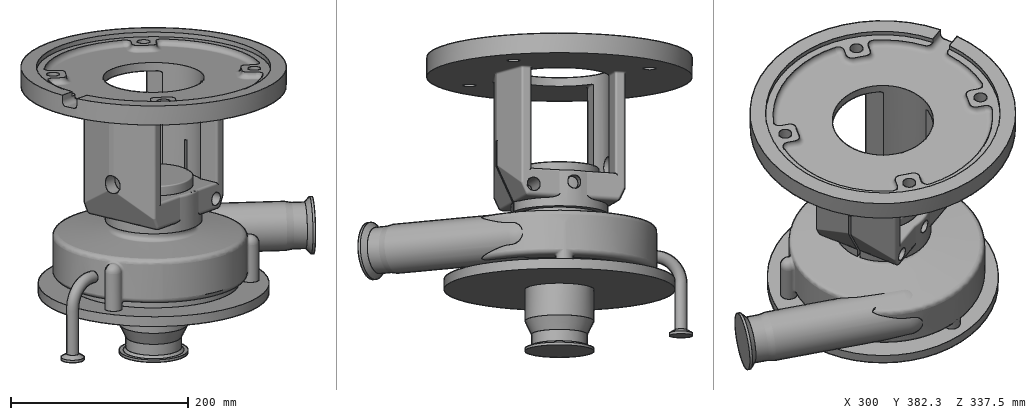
import cadquery as cq
import math


hair = 0.5
margin = 4.0

flange_radius = 150.0
flange_top = 337.5
flange_bottom = 315.0
rim_recess_radius = 132.5
rim_recess_depth = 5.5
pocket_radius = 124.0
pocket_depth = 12.5
pocket_floor_fillet = 6.0
pocket_corner_fillet = 7.0
bolt_offset = 80.7
bolt_hole_radius = 7.3
bolt_pad_half_width = 14.0
bolt_pad_inset = 14.5
channel_half_width = 10.7

yoke_half_width = 104.5 / 2
yoke_corner_y = 122.0 / 2
yoke_ridge_y = 149.5 / 2
yoke_ridge_half_width = 3.25
yoke_bottom = 166.8
yoke_bevel_start_y = 109.0 / 2
yoke_bevel_top = 208.5
yoke_fillet = 2.5
yoke_bottom_fillet = 4.5
yoke_foot_fillet = 2.3
window_half_width = 49.7
yoke_bore_radius = 57.0
collar_radius = 54.7
collar_bottom = 157.0
collar_top = 198.5
screw_hole_radius = 7.5
set_screw_z = 185.0
clamp_screw_y = 47.5
clamp_screw_z = 180.0
slit_width = 3.5
slit_top = 237.0
leg_hole_radius = 10.7
leg_hole_z = 215.7

shaft_radius = 89.0 / 2
shaft_top = 209.5
shaft_edge_fillet = 1.5
neck_radius = 46.0
neck_fillet = 5.7

casing_bottom = 90.0
casing_rim_z = 141.0
casing_hub_z = 145.5
casing_fillet = 5.7
casing_radius = 106.0
volute_radius = 113.2
volute_offset = volute_radius - casing_radius
volute_start_angle = -45
volute_end_angle = 112
base_ring_radius = 96.5

plate_radius = 130.5
plate_bottom = 70.8
plate_top = 82.2
post_radius = 19.5 / 2
post_circle_radius = 109.8
post_top = 135.8
post_fillet = 2.5
post_angles = (-75, 45, 165)

inlet_radius = 39.0
inlet_neck_radius = 63.0 / 2
inlet_cone_top = 34.5
inlet_cone_bottom = 19.0
inlet_ferrule_top = 6.0
inlet_ferrule_edge = 3.0
inlet_ferrule_root_radius = 34.5

outlet_angle = 45
outlet_axis_offset = 95.5
outlet_z = 115.0
outlet_radius = 28.0
outlet_neck_radius = 26.5
outlet_cone_start = 158.5
outlet_cone_end = 166.5
outlet_ferrule_start = 181.5
outlet_ferrule_edge = 187.0
outlet_ferrule_radius = 32.5
outlet_end = 190.0

drain_radius = 7.0
drain_y = -144.2
drain_bend_radius = 29.5
drain_inlet_y = -99.5
drain_ferrule_radius = 26.5 / 2
drain_ferrule_bottom = 26.0
drain_ferrule_edge = 29.0
drain_ferrule_top = 33.0


def cylinder(radius, bottom, top):
    return cq.Workplane("XY").workplane(offset=bottom).circle(radius).extrude(top - bottom)


def turned(points):
    """Solid of revolution about Z from (radius, z) points, closed along the axis."""
    outline = [(0, points[0][1])] + points + [(0, points[-1][1])]
    return cq.Workplane("XZ").polyline(outline).close().revolve(360, (0, 0), (0, 1))


def polar(radius, angle, center=(0, 0)):
    a = math.radians(angle)
    return center[0] + radius * math.cos(a), center[1] + radius * math.sin(a)


def flange_pocket():
    """Stepped pocket: a shallow rim recess, then a deeper one around the bolt pads."""
    floor = flange_top - pocket_depth
    pocket = cylinder(pocket_radius, floor, flange_top)
    pad_inner = math.hypot(bolt_offset, bolt_offset) - bolt_pad_inset
    pad_length = flange_radius - pad_inner
    for angle in (45, 135, 225, 315):
        pad = (
            cq.Workplane("XY").workplane(offset=floor)
            .center(pad_inner + pad_length / 2, 0)
            .rect(pad_length, 2 * bolt_pad_half_width)
            .extrude(pocket_depth)
            .rotate((0, 0, 0), (0, 0, 1), angle)
        )
        pocket = pocket.cut(pad)
    channel_start = pocket_radius - channel_half_width
    channel_end = flange_radius + margin
    channel = (
        cq.Workplane("XY").workplane(offset=floor)
        .center(0, -(channel_start + channel_end) / 2)
        .rect(2 * channel_half_width, channel_end - channel_start)
        .extrude(pocket_depth)
    )
    pocket = pocket.union(channel)
    inside = cq.selectors.BoxSelector(
        (-pocket_radius, -pocket_radius, floor), (pocket_radius, pocket_radius, flange_top)
    )
    pocket = pocket.edges("|Z").edges(inside).fillet(pocket_corner_fillet)
    pocket = pocket.faces("<Z").edges().fillet(pocket_floor_fillet)
    return pocket.union(cylinder(rim_recess_radius, flange_top - rim_recess_depth, flange_top))


def yoke_legs():
    """Two V-nosed legs joined at the bottom by the clamp block and its round collar."""
    outline = [
        (yoke_half_width, -yoke_corner_y),
        (yoke_half_width, yoke_corner_y),
        (yoke_ridge_half_width, yoke_ridge_y),
        (-yoke_ridge_half_width, yoke_ridge_y),
        (-yoke_half_width, yoke_corner_y),
        (-yoke_half_width, -yoke_corner_y),
        (-yoke_ridge_half_width, -yoke_ridge_y),
        (yoke_ridge_half_width, -yoke_ridge_y),
    ]
    legs = (
        cq.Workplane("XY").workplane(offset=yoke_bottom)
        .polyline(outline).close().extrude(flange_bottom - yoke_bottom)
    )
    side_profile = [
        (-yoke_bevel_start_y, yoke_bottom),
        (yoke_bevel_start_y, yoke_bottom),
        (yoke_ridge_y, yoke_bevel_top),
        (yoke_ridge_y, flange_bottom),
        (-yoke_ridge_y, flange_bottom),
        (-yoke_ridge_y, yoke_bevel_top),
    ]
    side = cq.Workplane("YZ").polyline(side_profile).close().extrude(yoke_half_width, both=True)
    legs = legs.intersect(side)
    legs = legs.faces("<Z").edges().fillet(yoke_bottom_fillet)
    bevel_edges = cq.selectors.BoxSelector(
        (-yoke_half_width, -yoke_ridge_y - margin, yoke_bottom + 2 * yoke_bottom_fillet),
        (yoke_half_width, yoke_ridge_y + margin, yoke_bevel_top + hair),
    )
    sides = legs.faces("<X or >X").edges("not (|Y)")
    legs = sides.add(legs.edges(bevel_edges)).fillet(yoke_fillet)
    legs = legs.union(cylinder(collar_radius, collar_bottom, collar_top))
    window_height = flange_bottom - collar_top
    window = (
        cq.Workplane("XY").workplane(offset=collar_top)
        .rect(4 * yoke_half_width, 2 * window_half_width).extrude(window_height)
    )
    legs = legs.cut(window)
    rounded = cq.selectors.BoxSelector(
        (-collar_radius, -window_half_width - hair, collar_top - hair),
        (collar_radius, window_half_width + hair, flange_bottom - hair),
    )
    return legs.edges(rounded).edges("not |X").fillet(yoke_fillet)


def motor_mount():
    """Flange, yoke and clamp collar with all of their holes.

    The holes for the set screw (-X side) and in the leg (-Y side) reach inwards to the
    shaft axis, and the shaft fills what lies inside its radius.
    """
    mount = cylinder(flange_radius, flange_bottom, flange_top).union(yoke_legs())
    foot = cq.selectors.BoxSelector(
        (-yoke_half_width - margin, -yoke_ridge_y - margin, flange_bottom - hair),
        (yoke_half_width + margin, yoke_ridge_y + margin, flange_bottom + hair),
    )
    mount = mount.edges(foot).edges("not %CIRCLE").fillet(yoke_foot_fillet)
    mount = mount.cut(flange_pocket())
    mount = mount.cut(cylinder(yoke_bore_radius, collar_top, flange_top))
    bolts = (
        cq.Workplane("XY").workplane(offset=flange_bottom)
        .rect(2 * bolt_offset, 2 * bolt_offset, forConstruction=True).vertices()
        .circle(bolt_hole_radius).extrude(flange_top - flange_bottom)
    )
    set_screw = (
        cq.Workplane("YZ").center(0, set_screw_z)
        .circle(screw_hole_radius).extrude(-2 * yoke_half_width)
    )
    clamp_screw = (
        cq.Workplane("YZ").center(clamp_screw_y, clamp_screw_z)
        .circle(screw_hole_radius).extrude(2 * yoke_half_width, both=True)
    )
    leg_hole = (
        cq.Workplane("XZ").center(0, leg_hole_z).circle(leg_hole_radius).extrude(2 * yoke_ridge_y)
    )
    slit = (
        cq.Workplane("XY").workplane(offset=collar_bottom)
        .center(0, yoke_ridge_y).rect(slit_width, 2 * yoke_ridge_y)
        .extrude(slit_top - collar_bottom)
    )
    return mount.cut(bolts).cut(set_screw).cut(clamp_screw).cut(leg_hole).cut(slit)


def casing_body():
    """Casing wall made of a plain arc and a larger volute arc, under a shallow cone."""
    center = polar(volute_offset, volute_start_angle + 180)
    mid_angle = (volute_start_angle + volute_end_angle) / 2
    body = (
        cq.Workplane("XY").workplane(offset=casing_bottom)
        .moveTo(*polar(casing_radius, volute_start_angle))
        .threePointArc(polar(casing_radius, mid_angle), polar(casing_radius, volute_end_angle))
        .lineTo(*polar(volute_radius, volute_end_angle, center))
        .threePointArc(
            polar(volute_radius, mid_angle + 180, center),
            polar(volute_radius, volute_start_angle, center),
        )
        .close()
        .extrude(casing_hub_z - casing_bottom)
    )
    hub_radius = neck_radius + neck_fillet
    cone_slope = (casing_hub_z - casing_rim_z) / (casing_radius - hub_radius)
    cone_radius = volute_radius + 2 * volute_offset
    cone_edge_z = casing_hub_z - cone_slope * (cone_radius - hub_radius)
    envelope = turned([
        (cone_radius, casing_bottom),
        (cone_radius, cone_edge_z),
        (hub_radius, casing_hub_z),
    ])
    body = body.intersect(envelope)
    rim = cq.selectors.BoxSelector(
        (-cone_radius, -cone_radius, cone_edge_z),
        (cone_radius, cone_radius, casing_rim_z + hair),
    )
    body = body.edges(rim).fillet(casing_fillet)
    return body.faces("<Z").edges().fillet(casing_fillet)


def neck_and_shaft():
    hub_radius = neck_radius + neck_fillet
    arc_mid = neck_fillet * (1 - math.sqrt(0.5))
    neck = (
        cq.Workplane("XZ")
        .moveTo(0, casing_bottom)
        .lineTo(hub_radius, casing_bottom)
        .lineTo(hub_radius, casing_hub_z)
        .threePointArc(
            (neck_radius + arc_mid, casing_hub_z + arc_mid),
            (neck_radius, casing_hub_z + neck_fillet),
        )
        .lineTo(neck_radius, collar_bottom)
        .lineTo(0, collar_bottom)
        .close()
        .revolve(360, (0, 0), (0, 1))
    )
    shaft = cylinder(shaft_radius, casing_hub_z, shaft_top)
    shaft = shaft.faces(">Z").edges().fillet(shaft_edge_fillet)
    return neck.union(shaft)


def post(x, y):
    dome_z = post_top - post_radius
    dome = cq.Workplane("XY").sphere(post_radius).translate((0, 0, dome_z))
    return cylinder(post_radius, plate_top, dome_z).union(dome).translate((x, y, 0))


def casing_with_posts():
    """Casing on its base ring, with domed posts blended into the wall."""
    casing = casing_body()
    casing = casing.union(cylinder(base_ring_radius, plate_top, casing_bottom + casing_fillet))
    for angle in post_angles:
        x, y = polar(post_circle_radius, angle)
        casing = casing.union(post(x, y))
        dome_box = cq.selectors.BoxSelector(
            (x - post_radius, y - post_radius, post_top - post_radius),
            (x + post_radius, y + post_radius, post_top),
        )
        casing = casing.edges(dome_box).edges("%BSPLINE").fillet(post_fillet)
    return casing


def inlet():
    return turned([
        (inlet_radius, 0),
        (inlet_radius, inlet_ferrule_edge),
        (inlet_ferrule_root_radius, inlet_ferrule_edge),
        (inlet_neck_radius, inlet_ferrule_top),
        (inlet_neck_radius, inlet_cone_bottom),
        (inlet_radius, inlet_cone_top),
        (inlet_radius, plate_bottom),
    ])


def outlet():
    """Pipe with a domed start inside the volute and a ferrule at its far end."""
    pipe = turned([
        (outlet_radius, 0),
        (outlet_radius, outlet_cone_start),
        (outlet_neck_radius, outlet_cone_end),
        (outlet_neck_radius, outlet_ferrule_start),
        (outlet_ferrule_radius, outlet_ferrule_edge),
        (outlet_ferrule_radius, outlet_end),
    ])
    pipe = pipe.union(cq.Workplane("XY").sphere(outlet_radius))
    return (
        pipe.rotate((0, 0, 0), (0, 1, 0), 90)
        .translate((0, outlet_axis_offset, outlet_z))
        .rotate((0, 0, 0), (0, 0, 1), outlet_angle)
    )


def drain():
    bend_y = drain_y + drain_bend_radius
    bend_z = outlet_z - drain_bend_radius
    mid = drain_bend_radius * math.sqrt(0.5)
    path = (
        cq.Workplane("YZ")
        .moveTo(drain_inlet_y, outlet_z)
        .lineTo(bend_y, outlet_z)
        .threePointArc((bend_y - mid, bend_z + mid), (drain_y, bend_z))
        .lineTo(drain_y, drain_ferrule_bottom)
    )
    tube = (
        cq.Workplane("XZ", origin=(0, drain_inlet_y, outlet_z)).circle(drain_radius).sweep(path)
    )
    ferrule = turned([
        (drain_ferrule_radius, drain_ferrule_bottom),
        (drain_ferrule_radius, drain_ferrule_edge),
        (drain_radius, drain_ferrule_top),
    ])
    return tube.union(ferrule.translate((0, drain_y, 0)))


result = motor_mount().union(neck_and_shaft()).union(casing_with_posts())
result = result.union(cylinder(plate_radius, plate_bottom, plate_top))
result = result.union(inlet()).union(outlet()).union(drain())